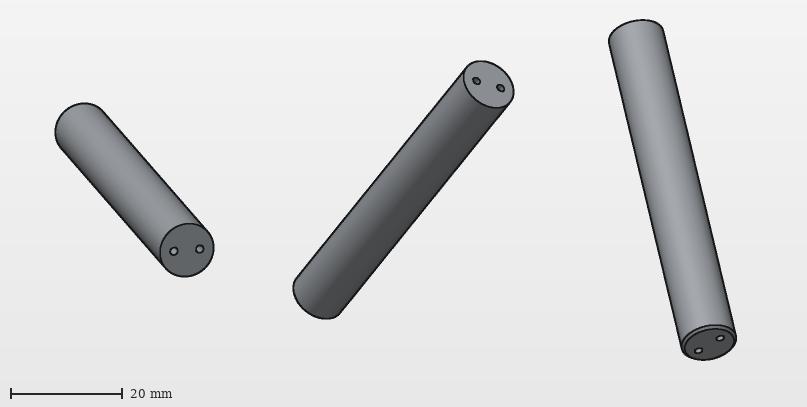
import cadquery as cq
import math

rod_length = 70.0
rod_diameter = 10.0
end_chamfer = 0.5

channel_count = 2
channel_diameter = 1.4
channel_circle_diameter = 4.8
channel_start_angle = -35.0
helix_angle = 15.0
full_turn = 360.0
helix_lead = math.pi * rod_diameter / math.tan(math.radians(helix_angle))
channel_twist = full_turn * rod_length / helix_lead


def make_rod():
    """Plain round rod with a chamfer on its -X end only."""
    rod = cq.Workplane("YZ").circle(rod_diameter / 2).extrude(rod_length)
    return rod.faces("<X").chamfer(end_chamfer)


def make_channels():
    """Channels that run the full rod length, twisting about the rod axis."""
    return (
        cq.Workplane("YZ")
        .polarArray(channel_circle_diameter / 2, channel_start_angle, full_turn, channel_count)
        .circle(channel_diameter / 2)
        .twistExtrude(rod_length, channel_twist)
    )


result = make_rod().cut(make_channels())